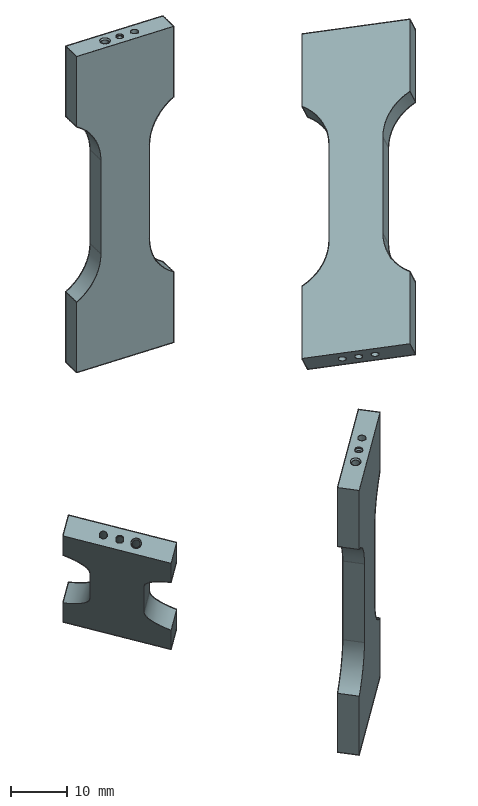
import cadquery as cq
import math

length = 67.3
top_z = length / 2
width = 20.0
thickness = 4.0

neck_width = width / 2
neck_length = width
shoulder_radius = width / 2

hole_diameter = 1.4
hole_pitch = 3.0

flare_diameter = 1.9
flare_depth = 0.3
groove_depth = 2 * flare_depth

shoulder_rise = (width - neck_width) / 2
shoulder_angle = math.acos(1 - shoulder_rise / shoulder_radius)
shoulder_length = shoulder_radius * math.sin(shoulder_angle)


def make_plate():
    """Rectangular blank centred on the origin."""
    return cq.Workplane("XY").box(thickness, width, length)


def make_side_recess(side):
    """Waist cut-out on the +Y (side = 1) or -Y (side = -1) edge."""
    neck_y = side * neck_width / 2
    edge_y = side * width / 2
    neck_z = neck_length / 2
    corner_z = neck_z + shoulder_length
    half_angle = shoulder_angle / 2
    middle_y = neck_y + side * shoulder_radius * (1 - math.cos(half_angle))
    middle_z = neck_z + shoulder_radius * math.sin(half_angle)
    return (
        cq.Workplane("YZ")
        .moveTo(neck_y, -neck_z)
        .lineTo(neck_y, neck_z)
        .threePointArc((middle_y, middle_z), (edge_y, corner_z))
        .lineTo(edge_y, -corner_z)
        .threePointArc((middle_y, -middle_z), (neck_y, -neck_z))
        .close()
        .extrude(thickness / 2, both=True)
    )


def make_cone(mouth_z, centre_y, direction):
    """Cone that narrows from its mouth to the bore, upward (direction = 1) or downward (-1)."""
    bore_radius = hole_diameter / 2
    mouth_radius = flare_diameter / 2
    neck_z = mouth_z + direction * flare_depth
    profile = [(0, mouth_z), (mouth_radius, mouth_z), (bore_radius, neck_z), (0, neck_z)]
    cone = cq.Workplane("XZ").polyline(profile).close().revolve(360, (0, 0), (0, 1))
    return cone.translate((0, centre_y, 0))


def drill_holes(body):
    """Three through holes along Z, spaced along Y."""
    centres = [(0, -hole_pitch), (0, 0), (0, hole_pitch)]
    bores = (
        cq.Workplane("XY", origin=(0, 0, top_z))
        .pushPoints(centres)
        .circle(hole_diameter / 2)
        .extrude(-length)
    )
    return body.cut(bores)


def countersink_hole(body):
    """Flare the top of the hole nearest -Y."""
    return body.cut(make_cone(top_z, -hole_pitch, -1))


def groove_middle_hole(body):
    """V-shaped ring groove inside the middle hole, just below the top face."""
    groove_z = top_z - groove_depth
    for direction in (-1, 1):
        body = body.cut(make_cone(groove_z, 0, direction))
    return body


body = make_plate()
for side in (-1, 1):
    body = body.cut(make_side_recess(side))
body = drill_holes(body)
body = countersink_hole(body)
result = groove_middle_hole(body)